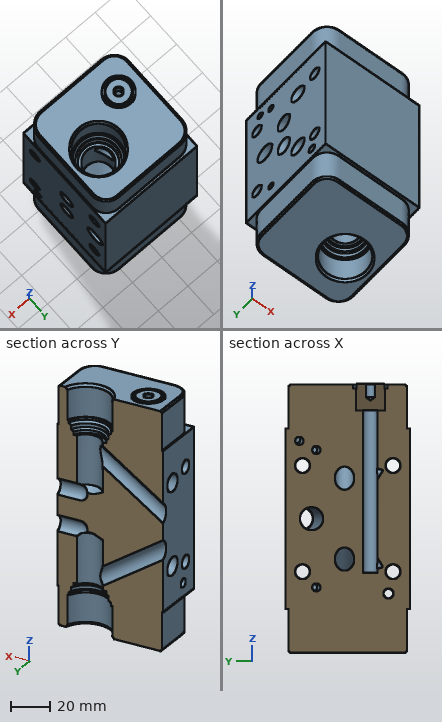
import cadquery as cq
import math

block_x = 62.0
block_y = 63.5
block_z = 92.0
cap_x = 60.9
cap_y = 60.4
cap_height = 22.4
cap_corner_radius = 9.6
cap_edge_chamfer = 1.0
cap_top_z = block_z / 2 + cap_height
port_face_x = -block_x / 2

bore_x = 12.0
bore_y = 4.5
bore_rim_radius = 15.0
bore_rim_depth = 1.5
bore_radius = 13.9
bore_depth = 18.5
step_radius = 13.2
step_depth = 19.9
seat_cone_radius = 11.8
seat_cone_depth = 21.3
seat_radius = 10.5
seat_start_depth = 23.3
seat_chamfer = 1.1
seat_depth = 26.0
pilot_radius = 8.8
pilot_depth = 54.6
drill_tip_angle = 59.0

plug_x = -15.8
plug_y = -11.5
plug_radius = 7.3
plug_length = 13.7
overall_length = 137.2
plug_top_z = overall_length - cap_top_z
plug_edge_chamfer = 0.5
plug_hole_radius = 2.6
plug_hole_chamfer = 0.4
plug_hole_depth = 6.9
recess_radius = 8.6
recess_depth = 2.0
channel_radius = 3.5
channel_bottom_z = -27.5

mount_radius = 3.7
mount_y = 23.0
mount_z = 27.0
locating_radius = 2.5
locating_y = -20.7
locating_z = -38.1

tank_radius = 5.8
tank_y = 16.7
tank_exit_shift = 6.9

feed_radius = 4.8
feed_y = 1.6
feed_z = 10.4
feed_tilt = 33.7

service_radius = 4.8
service_end_x = 18.0

link_radius = 5.0
link_y = -9.6
link_z = 23.7
link_shift_y = -5.6
link_shift_z = -3.4

control_radius = 1.9
control_y = 12.0
control_z = 35.0
control_run = 20.6
control_shift = 5.5
corner_y = 20.6
corner_z = 38.0
corner_shift_z = 2.2


def make_cap(side):
    """End cap above (side=1) or below (side=-1) the block."""
    cap = cq.Workplane("XY").box(cap_x, cap_y, cap_height).edges("|Z").fillet(cap_corner_radius)
    cap = cap.faces(">Z").chamfer(cap_edge_chamfer)
    if side < 0:
        cap = cap.rotate((0, 0, 0), (1, 0, 0), 180)
    return cap.translate((0, 0, side * (block_z + cap_height) / 2))


def make_bore():
    """Stepped bore going down from the top cap's end face."""
    tip_depth = pilot_depth + pilot_radius / math.tan(math.radians(drill_tip_angle))
    profile = [
        (0, 0),
        (bore_rim_radius, 0),
        (bore_radius, -bore_rim_depth),
        (bore_radius, -bore_depth),
        (step_radius, -bore_depth),
        (step_radius, -step_depth),
        (seat_cone_radius, -seat_cone_depth),
        (seat_cone_radius, -seat_start_depth),
        (seat_radius, -seat_start_depth - seat_chamfer),
        (seat_radius, -seat_depth),
        (pilot_radius, -seat_depth),
        (pilot_radius, -pilot_depth),
        (0, -tip_depth),
    ]
    bore = cq.Workplane("XZ").polyline(profile).close().revolve(360, (0, 0), (0, 1))
    return bore.translate((bore_x, bore_y, cap_top_z))


def drill(radius, y, z, run, shift_y=0.0, shift_z=0.0):
    """Round hole from (y, z) on the port face whose axis drifts by the shifts over run along X."""
    slope = cq.Vector(run, shift_y, shift_z)
    lead_in = radius / run
    start = cq.Vector(port_face_x, y, z) - slope * lead_in
    length = slope.Length * (1 + lead_in)
    return cq.Workplane(cq.Solid.makeCylinder(radius, length, start, slope))


def make_service_hole(z):
    """Straight ball-ended hole from the +X face at height z."""
    hole = cq.Workplane("YZ", origin=(service_end_x, feed_y, z)).circle(service_radius)
    hole = hole.extrude(block_x / 2 - service_end_x)
    ball = cq.Workplane("XY", origin=(service_end_x, feed_y, z)).sphere(service_radius)
    return hole.union(ball)


def upright_cylinder(radius, bottom_z, top_z):
    """Cylinder on the plug's axis."""
    return cq.Workplane("XY", origin=(plug_x, plug_y, bottom_z)).circle(radius).extrude(top_z - bottom_z)


def make_housing():
    """Block with both end caps and all its bores and holes."""
    housing = cq.Workplane("XY").box(block_x, block_y, block_z)
    housing = housing.union(make_cap(1)).union(make_cap(-1))

    housing = housing.cut(make_bore()).cut(make_bore().mirror("XY"))

    plug_bottom_z = plug_top_z - plug_length
    housing = housing.cut(upright_cylinder(plug_radius, plug_bottom_z, cap_top_z))
    housing = housing.cut(upright_cylinder(recess_radius, cap_top_z - recess_depth, cap_top_z))
    housing = housing.cut(upright_cylinder(channel_radius, channel_bottom_z, plug_bottom_z))

    through_run = block_x + mount_radius
    for y in (-mount_y, mount_y):
        for z in (-mount_z, mount_z):
            housing = housing.cut(drill(mount_radius, y, z, through_run))
    housing = housing.cut(drill(locating_radius, locating_y, locating_z, through_run))

    tank_run = block_x + tank_radius
    tank_shift = tank_exit_shift * tank_run / block_x
    housing = housing.cut(drill(tank_radius, tank_y, 0, tank_run, tank_shift))

    feed_run = bore_x - port_face_x
    feed_rise = feed_run * math.tan(math.radians(feed_tilt))
    link_run = plug_x - port_face_x
    for side in (1, -1):
        housing = housing.cut(drill(feed_radius, feed_y, side * feed_z, feed_run, 0, side * feed_rise))
        housing = housing.cut(make_service_hole(side * feed_z))
        link = drill(link_radius, link_y, side * link_z, link_run, link_shift_y, side * link_shift_z)
        housing = housing.cut(link)
        control = drill(control_radius, control_y, side * control_z, control_run, control_shift)
        housing = housing.cut(control)

    corner = drill(control_radius, corner_y, corner_z, control_run, control_shift, corner_shift_z)
    return housing.cut(corner)


def make_plug():
    """Screw plug with a blind tool hole in its head."""
    plug = upright_cylinder(plug_radius, plug_top_z - plug_length, plug_top_z)
    plug = plug.faces(">Z").chamfer(plug_edge_chamfer)
    tip_depth = plug_hole_depth + plug_hole_radius / math.tan(math.radians(drill_tip_angle))
    profile = [
        (0, 0),
        (plug_hole_radius, 0),
        (plug_hole_radius - plug_hole_chamfer, -plug_hole_chamfer),
        (plug_hole_radius - plug_hole_chamfer, -plug_hole_depth),
        (0, -tip_depth),
    ]
    hole = cq.Workplane("XZ").polyline(profile).close().revolve(360, (0, 0), (0, 1))
    return plug.cut(hole.translate((plug_x, plug_y, plug_top_z)))


housing = make_housing()
plug = make_plug()
result = cq.Compound.makeCompound([housing.val(), plug.val()])